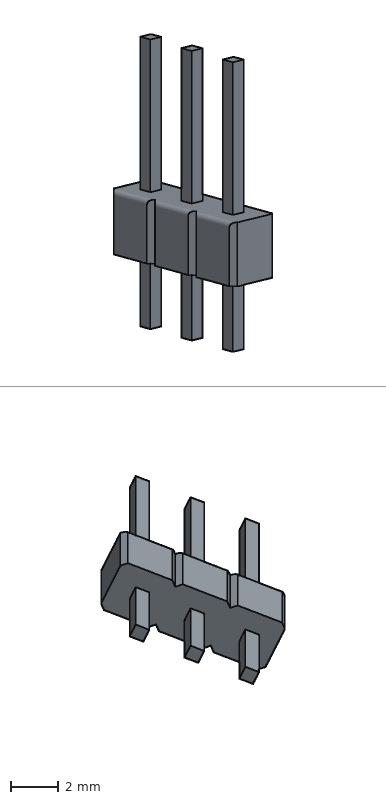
import cadquery as cq

pin_count = 3
pitch = 2.54
housing_depth = 2.5
housing_bottom = 3.2
housing_height = 2.81
corner_cut = 0.24
top_radius = 0.22

pin_width = 0.64
pin_length = 12.7
pin_offset_x = -0.06


def cell_center(index):
    return (index - (pin_count - 1) / 2) * pitch


def make_cell(index):
    """One cell: chamfered upright corners and rounded long top edges."""
    block = cq.Workplane("XY").box(pitch, housing_depth, housing_height, centered=(True, True, False))
    cut_corners = block.edges("|Z").chamfer(corner_cut)
    rounded_top = block.edges("|X and >Z").fillet(top_radius)
    cell = cut_corners.intersect(rounded_top)
    return cell.translate((cell_center(index), 0, housing_bottom))


def make_pin(index):
    """A straight square pin running through its cell."""
    return (
        cq.Workplane("XY")
        .center(cell_center(index) + pin_offset_x, 0)
        .rect(pin_width, pin_width)
        .extrude(pin_length)
    )


result = make_cell(0)
for index in range(1, pin_count):
    result = result.union(make_cell(index))
for index in range(pin_count):
    result = result.union(make_pin(index))
result = result.clean()